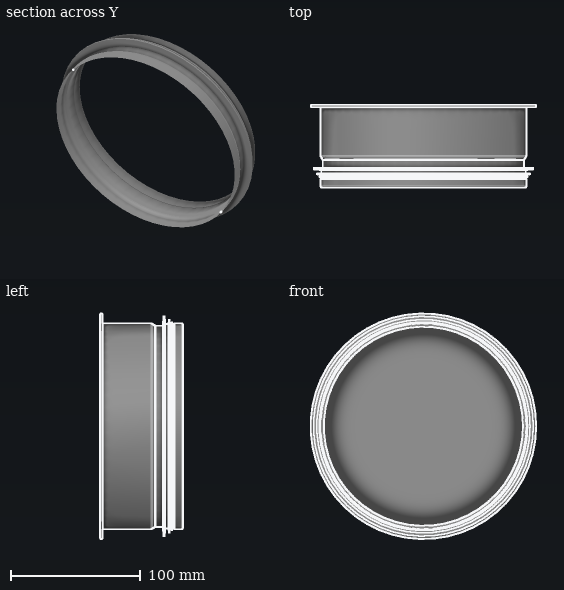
import cadquery as cq


length = 64.0
sheet = 0.6
body_radius = 159.0 / 2
neck_radius = 155.4 / 2
end_bore_radius = 153.2 / 2
shoulder_start_y = -39.7
shoulder_end_y = -42.5
shoulder_top_bend = 2.0
shoulder_foot_bend = 1.0
end_bore_start_y = -54.5
collar_start_y = -57.6
body_bore_radius = body_radius - sheet
neck_bore_radius = neck_radius - sheet

flange_radius = 174.0 / 2
flange_thickness = 2.0
flange_blend = 0.5

plate_thickness = 1.7

gasket_base_radius = 158.0 / 2
gasket_start_y = -48.5
gasket_lips = [
    (169.4 / 2, gasket_start_y, -48.7, -49.9, -50.4),
    (164.4 / 2, -52.7, -53.0, -53.7, -54.1),
    (160.6 / 2, -54.8, -55.4, -55.6, -56.3),
]


def revolve_profile(profile):
    """Turn a closed (radius, Y) profile around the Y axis."""
    return profile.close().revolve(360, (0, 0, 0), (0, 1, 0))


def make_sleeve():
    """Sheet sleeve with a round-edged flange, a shoulder down to the neck and a rounded open end."""
    rim_round = flange_thickness / 2
    end_round = (body_radius - end_bore_radius) / 2
    end_round_y = -length + end_round
    profile = (
        cq.Workplane("XY")
        .moveTo(body_bore_radius, 0)
        .lineTo(flange_radius - rim_round, 0)
        .threePointArc((flange_radius, -rim_round), (flange_radius - rim_round, -flange_thickness))
        .lineTo(body_radius, -flange_thickness)
        .lineTo(body_radius, shoulder_start_y)
        .lineTo(neck_radius, shoulder_end_y)
        .lineTo(neck_radius, collar_start_y)
        .lineTo(body_radius, collar_start_y)
        .lineTo(body_radius, end_round_y)
        .threePointArc((body_radius - end_round, -length), (end_bore_radius, end_round_y))
        .lineTo(end_bore_radius, end_bore_start_y)
        .lineTo(neck_bore_radius, end_bore_start_y)
        .lineTo(neck_bore_radius, shoulder_end_y)
        .lineTo(body_bore_radius, shoulder_start_y)
    )
    sleeve = revolve_profile(profile)
    sleeve = fillet_ring(sleeve, body_radius, -flange_thickness, flange_blend)
    sleeve = fillet_ring(sleeve, body_radius, shoulder_start_y, shoulder_top_bend)
    sleeve = fillet_ring(sleeve, body_bore_radius, shoulder_start_y, shoulder_top_bend - sheet)
    sleeve = fillet_ring(sleeve, neck_radius, shoulder_end_y, shoulder_foot_bend)
    return fillet_ring(sleeve, neck_bore_radius, shoulder_end_y, shoulder_foot_bend + sheet)


def fillet_ring(body, radius, y, blend):
    """Round the circular edge of the given radius at position y on the axis."""
    margin = 0.1
    outer = radius + margin
    inner = radius - margin
    near_ring = cq.selectors.BoxSelector(
        (-outer, y - margin, -outer), (outer, y + margin, outer), boundingbox=True
    )
    inside_ring = cq.selectors.BoxSelector(
        (-inner, y - margin, -inner), (inner, y + margin, inner), boundingbox=True
    )
    return body.edges(near_ring - inside_ring).fillet(blend)


def make_gasket():
    """Rubber sleeve filling the space above the neck, with lips of falling diameter."""
    profile = cq.Workplane("XY").moveTo(neck_radius, gasket_start_y)
    for tip_radius, root_start_y, tip_start_y, tip_end_y, root_end_y in gasket_lips:
        profile = (
            profile.lineTo(gasket_base_radius, root_start_y)
            .lineTo(tip_radius, tip_start_y)
            .lineTo(tip_radius, tip_end_y)
            .lineTo(gasket_base_radius, root_end_y)
        )
    profile = profile.lineTo(gasket_base_radius, collar_start_y).lineTo(neck_radius, collar_start_y)
    return revolve_profile(profile)


def make_end_plate():
    """Flat disc set in the bore, flush with the back of the flange."""
    return cq.Workplane("XZ").circle(body_bore_radius).extrude(plate_thickness)


sleeve = make_sleeve()
gasket = make_gasket()
end_plate = make_end_plate()

result = cq.Compound.makeCompound([sleeve.val(), gasket.val(), end_plate.val()])